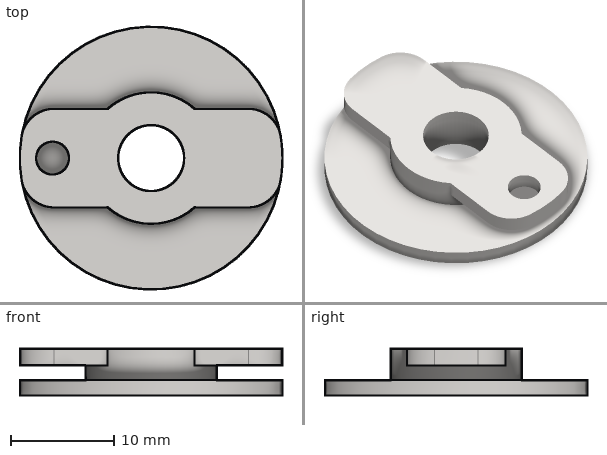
import cadquery as cq

disk_diameter = 25.4
disk_thickness = 1.47

total_height = 4.52
hub_diameter = disk_diameter / 2
bore_diameter = disk_diameter / 4

arm_width = 9.52
arm_thickness = 1.6
arm_corner_radius = 3.18
arm_bottom = total_height - arm_thickness

pin_hole_diameter = 3.18
pin_hole_offset = 9.52

disk = cq.Workplane("XY").circle(disk_diameter / 2).extrude(disk_thickness)
hub = cq.Workplane("XY").circle(hub_diameter / 2).extrude(total_height)

arm_plane = cq.Workplane("XY", origin=(0, 0, arm_bottom))
band = arm_plane.rect(disk_diameter, arm_width).extrude(arm_thickness)
rim = arm_plane.circle(disk_diameter / 2).extrude(arm_thickness)
arm = band.intersect(rim).edges("|Z and (<Y or >Y)").fillet(arm_corner_radius)

bore = cq.Workplane("XY").circle(bore_diameter / 2).extrude(total_height)
pin_hole = (
    cq.Workplane("XY", origin=(-pin_hole_offset, 0, arm_bottom))
    .circle(pin_hole_diameter / 2)
    .extrude(arm_thickness)
)

result = disk.union(hub).union(arm).cut(bore).cut(pin_hole)